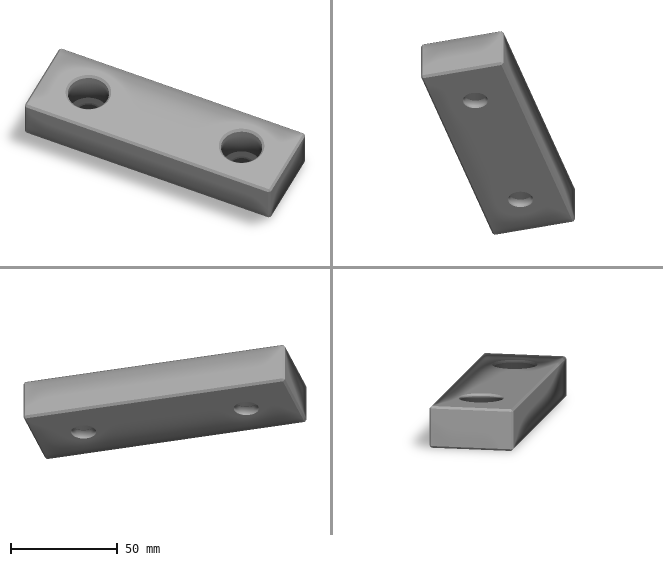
import cadquery as cq

length = 127.0
width = 40.0
height = 20.0
edge_chamfer = 1.0

hole_spacing = 79.0
hole_diameter = 11.8
hole_chamfer = 0.5
counterbore_diameter = 19.3
counterbore_depth = 15.0
counterbore_chamfer = 1.0


def make_block():
    """Block standing on Z = 0 with every outer edge chamfered."""
    block = cq.Workplane("XY").box(length, width, height, centered=(True, True, False))
    return block.edges().chamfer(edge_chamfer)


def make_bore(diameter, top, depth, chamfer):
    """Cylinder reaching down from the top level, flared at its mouth by a 45 degree chamfer."""
    radius = diameter / 2
    profile = [
        (0, top),
        (radius + chamfer, top),
        (radius, top - chamfer),
        (radius, top - depth),
        (0, top - depth),
    ]
    return cq.Workplane("XZ").polyline(profile).close().revolve(360, (0, 0, 0), (0, 1, 0))


def make_screw_hole():
    """Cutter for one through hole and its counterbore, both flared at the top."""
    seat_level = height - counterbore_depth
    counterbore = make_bore(counterbore_diameter, height, counterbore_depth, counterbore_chamfer)
    through_hole = make_bore(hole_diameter, seat_level, seat_level, hole_chamfer)
    return counterbore.union(through_hole)


result = make_block()
for hole_x in (-hole_spacing / 2, hole_spacing / 2):
    result = result.cut(make_screw_hole().translate((hole_x, 0, 0)))